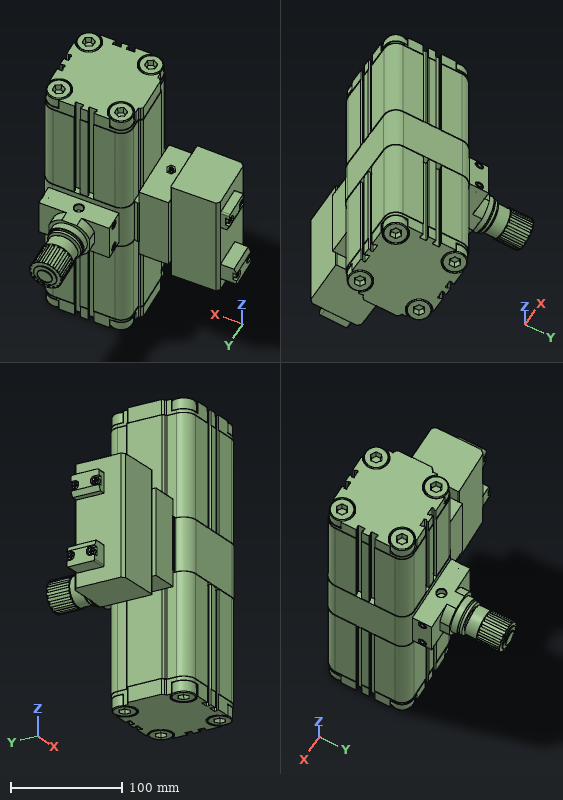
import cadquery as cq
import math

TOTAL_HEIGHT = 289.0
TOTAL_LENGTH_X = 186.7
BODY_HALF = 44.0
BARREL_HALF = 43.5
CAP_HALF = 43.0
BOLT_OFFSET = 31.0
CAP_THICKNESS = 15.3
MIDDLE_HALF_HEIGHT = 26.5
CAP_CORNER_RADIUS = CAP_HALF - BOLT_OFFSET
BARREL_CORNER_RADIUS = BARREL_HALF - BOLT_OFFSET
BODY_CORNER_RADIUS = BODY_HALF - BOLT_OFFSET
HALF_HEIGHT = TOTAL_HEIGHT / 2
BARREL_TOP = HALF_HEIGHT - CAP_THICKNESS

BARREL_PAD_X = -47.4
CAP_PAD_X = -47.0
PAD_EDGE_CHAMFER = 2.0
PAD_FOOT_RUN = 0.8
BARREL_PAD_HALF = 18.5
CAP_PAD_HALF = 17.5

SLOT_PITCH = 13.5
SLOT_DEPTH = 5.4
SLOT_MOUTH_WIDTH = 5.8
SLOT_FLOOR_WIDTH = 7.8
SLOT_NARROW_FLOOR_WIDTH = 6.6
SLOT_LIP_DEPTH = 2.4
SLOT_SHOULDER_DEPTH = 3.4

BOLT_HEAD_DIAMETER = 23.0
BOLT_SEAT_DIAMETER = 24.5
BOLT_SEAT_DEPTH = 11.5
BOLT_SEAT_SIDE_HALF = 5.6
BOLT_HEAD_CHAMFER = 0.9
HEX_ACROSS_FLATS = 10.0
HEX_TAPER = 9.0
HEX_DEPTH = 6.0

VALVE_INNER_X = -48.8
VALVE_OUTER_X = -78.5
VALVE_HALF_Y = 31.0
VALVE_HALF_Z = 42.8
FLANGE_EDGE_X = -47.3
FLANGE_EDGE_INSET = 0.9
OVERRIDE_ACROSS_FLATS = 7.4
OVERRIDE_RECESS = 4.13
OVERRIDE_RECESS_DEPTH = 1.0
OVERRIDE_HOLE = 2.46
OVERRIDE_HEIGHT = 2.0
OVERRIDE_Y = -4.6
UPPER_OVERRIDE_X = -63.7
LOWER_OVERRIDE_X = -67.3

HOUSING_OUTER_X = -126.5
HOUSING_HALF_Z = 60.8
HOUSING_HALF_Y = 26.7
HOUSING_BASE_HALF_Y = 27.4
HOUSING_CHAMFER = 3.1
HOUSING_BASE_CHAMFER = 0.9
PLUG_MAX_Y = 23.6
PLUG_MIN_Y = -6.0
PLUG_HEIGHT = 20.9
PLUG_CENTRE_Z = 35.9
PLUG_CHAMFER_X = 2.7
PLUG_CHAMFER_Z = 5.4
PLUG_CORNER_RADIUS = 1.5
UPPER_PLUG_X = -135.5
LOWER_PLUG_X = BODY_HALF - TOTAL_LENGTH_X
PLUG_SCREW_Y = (19.8, -1.4)
PLUG_SEAT_DIAMETER = 8.57
PLUG_SEAT_DEPTH = 3.9
PLUG_SCREW_DIAMETER = 7.0
PLUG_SCREW_HEIGHT = 2.8
CROSS_LENGTH = 4.5
CROSS_WIDTH = 1.2
CROSS_DEPTH = 1.5

REGULATOR_HALF_X = 35.2
REGULATOR_HALF_Z = 20.25
REGULATOR_FACE_Y = 64.0
PORT_Y = 54.0
PORT_DIAMETER = 8.57
PORT_DEPTH = 8.0
PORT_CHAMFER = 0.6
SIDE_SCREW_Y = 54.3
SIDE_SCREW_Z = 15.0
SIDE_SEAT_DIAMETER = 8.38
SIDE_SEAT_DEPTH = 5.2
SIDE_SCREW_DIAMETER = 7.0
SIDE_SCREW_SOCKET = 4.13
NECK_DIAMETER = 43.2
NECK_END_Y = 73.7
KNOB_DIAMETER = 32.0
TURNED_SECTIONS = (
    (36.0, 80.4),
    (33.9, 82.0),
    (33.4, 84.6),
    (24.5, 86.6),
    (29.6, 99.0),
    (KNOB_DIAMETER, 122.9),
    (23.0, 124.0),
    (14.95, 125.0),
)
KNOB_GROOVES = 18
KNOB_GROOVE_START_Y = 99.7
KNOB_GROOVE_END_Y = 122.2
KNOB_GROOVE_DIAMETER = 2.46


def box(x_range, y_range, z_range):
    """Box spanning the given ranges."""
    sizes = [high - low for low, high in (x_range, y_range, z_range)]
    corner = (x_range[0], y_range[0], z_range[0])
    return cq.Workplane("XY").box(*sizes, centered=False).translate(corner)


def cylinder(start, direction, diameter, length):
    """Cylinder from a start point along a direction."""
    solid = cq.Solid.makeCylinder(diameter / 2, length, cq.Vector(*start), cq.Vector(*direction))
    return cq.Workplane(obj=solid)


def rounded_prism(half_side, corner_radius, bottom, top):
    """Square column with rounded vertical edges."""
    column = box((-half_side, half_side), (-half_side, half_side), (bottom, top))
    return column.edges("|Z").fillet(corner_radius)


def section_with_pad(half_side, corner_radius, pad_x, pad_half, bottom, top):
    """Square column carrying a pad with bevelled edges on its -X side."""
    edge_x = pad_x + PAD_EDGE_CHAMFER
    edge_half = pad_half + PAD_EDGE_CHAMFER
    foot_half = edge_half + PAD_FOOT_RUN
    pad = (
        cq.Workplane("XY", origin=(0, 0, bottom))
        .polyline([
            (-BOLT_OFFSET, -foot_half),
            (-half_side, -foot_half),
            (edge_x, -edge_half),
            (pad_x, -pad_half),
            (pad_x, pad_half),
            (edge_x, edge_half),
            (-half_side, foot_half),
            (-BOLT_OFFSET, foot_half),
        ])
        .close()
        .extrude(top - bottom)
    )
    return rounded_prism(half_side, corner_radius, bottom, top).union(pad)


def slot_cutter(offset, floor_width):
    """Undercut sensor slot in the -Y face, as tall as a barrel with its cap."""
    mouth = SLOT_MOUTH_WIDTH / 2
    floor = floor_width / 2
    return (
        cq.Workplane("XY", origin=(offset, -BARREL_HALF, MIDDLE_HALF_HEIGHT))
        .polyline([
            (-mouth, -SLOT_LIP_DEPTH),
            (-mouth, SLOT_LIP_DEPTH),
            (-floor, SLOT_SHOULDER_DEPTH),
            (-floor, SLOT_DEPTH),
            (floor, SLOT_DEPTH),
            (floor, SLOT_SHOULDER_DEPTH),
            (mouth, SLOT_LIP_DEPTH),
            (mouth, -SLOT_LIP_DEPTH),
        ])
        .close()
        .extrude(HALF_HEIGHT - MIDDLE_HALF_HEIGHT)
    )


def cap_bolt():
    """Hex socket bolt head on the Z axis, its top level with the end of the body."""
    seat_z = HALF_HEIGHT - BOLT_SEAT_DEPTH
    head = cylinder((0, 0, seat_z), (0, 0, 1), BOLT_HEAD_DIAMETER, BOLT_SEAT_DEPTH)
    head = head.faces(">Z").chamfer(BOLT_HEAD_CHAMFER)
    across_corners = HEX_ACROSS_FLATS / math.cos(math.pi / 6)
    socket = (
        cq.Workplane("XY", origin=(0, 0, HALF_HEIGHT))
        .transformed(rotate=(0, 0, 90))
        .polygon(6, across_corners)
        .extrude(-HEX_DEPTH, taper=HEX_TAPER)
    )
    return head.cut(socket)


def bolt_seat():
    """Corner recess for the bolt at (+X, +Y), opening through both cap sides."""
    seat_z = HALF_HEIGHT - BOLT_SEAT_DEPTH
    z_range = (seat_z, HALF_HEIGHT)
    inner = BOLT_OFFSET - BOLT_SEAT_SIDE_HALF
    seat = cylinder(
        (BOLT_OFFSET, BOLT_OFFSET, seat_z), (0, 0, 1), BOLT_SEAT_DIAMETER, BOLT_SEAT_DEPTH)
    seat = seat.union(box((inner, BODY_HALF), (BOLT_OFFSET, BODY_HALF), z_range))
    return seat.union(box((BOLT_OFFSET, BODY_HALF), (inner, BODY_HALF), z_range))


def upper_half():
    """Barrel, end cap and bolts above the middle block."""
    barrel = section_with_pad(
        BARREL_HALF, BARREL_CORNER_RADIUS, BARREL_PAD_X, BARREL_PAD_HALF,
        MIDDLE_HALF_HEIGHT, BARREL_TOP)
    cap = section_with_pad(
        CAP_HALF, CAP_CORNER_RADIUS, CAP_PAD_X, CAP_PAD_HALF, BARREL_TOP, HALF_HEIGHT)
    half = barrel.union(cap)
    slotted_sides = (
        (0, SLOT_FLOOR_WIDTH),
        (90, SLOT_NARROW_FLOOR_WIDTH),
        (180, SLOT_FLOOR_WIDTH),
    )
    for side_angle, floor_width in slotted_sides:
        for offset in (-SLOT_PITCH / 2, SLOT_PITCH / 2):
            slot = slot_cutter(offset, floor_width)
            half = half.cut(slot.rotate((0, 0, 0), (0, 0, 1), side_angle))
    seat = bolt_seat()
    for corner in range(4):
        half = half.cut(seat.rotate((0, 0, 0), (0, 0, 1), 90 * corner))
    bolt = cap_bolt()
    for x in (-BOLT_OFFSET, BOLT_OFFSET):
        for y in (-BOLT_OFFSET, BOLT_OFFSET):
            half = half.union(bolt.translate((x, y, 0)))
    return half


def body():
    middle = rounded_prism(
        BODY_HALF, BODY_CORNER_RADIUS, -MIDDLE_HALF_HEIGHT, MIDDLE_HALF_HEIGHT)
    half = upper_half()
    return middle.union(half).union(half.mirror("XY"))


def override_button(x):
    """Hexagonal manual override standing on the top of the valve."""
    across_corners = OVERRIDE_ACROSS_FLATS / math.cos(math.pi / 6)
    return (
        cq.Workplane("XY", origin=(x, OVERRIDE_Y, VALVE_HALF_Z))
        .polygon(6, across_corners)
        .extrude(OVERRIDE_HEIGHT)
        .faces(">Z")
        .workplane()
        .cboreHole(OVERRIDE_HOLE, OVERRIDE_RECESS, OVERRIDE_RECESS_DEPTH)
    )


def valve():
    y_range = (-VALVE_HALF_Y, VALVE_HALF_Y)
    block = box((VALVE_OUTER_X, VALVE_INNER_X), y_range, (-VALVE_HALF_Z, VALVE_HALF_Z))
    inset_half_y = VALVE_HALF_Y - FLANGE_EDGE_INSET
    flange = (
        cq.Workplane("XY", origin=(0, 0, -MIDDLE_HALF_HEIGHT))
        .polyline([
            (-BODY_HALF, -inset_half_y),
            (FLANGE_EDGE_X, -VALVE_HALF_Y),
            (VALVE_INNER_X, -inset_half_y),
            (VALVE_INNER_X, inset_half_y),
            (FLANGE_EDGE_X, VALVE_HALF_Y),
            (-BODY_HALF, inset_half_y),
        ])
        .close()
        .extrude(2 * MIDDLE_HALF_HEIGHT)
    )
    block = block.union(flange)
    block = block.union(override_button(UPPER_OVERRIDE_X))
    return block.union(override_button(LOWER_OVERRIDE_X).mirror("XY"))


def pilot_housing():
    """Drafted housing, wider where it meets the valve."""
    return (
        cq.Workplane("XY", origin=(0, 0, -HOUSING_HALF_Z))
        .polyline([
            (HOUSING_OUTER_X, -HOUSING_HALF_Y),
            (VALVE_OUTER_X, -HOUSING_BASE_HALF_Y),
            (VALVE_OUTER_X, HOUSING_BASE_HALF_Y),
            (HOUSING_OUTER_X, HOUSING_HALF_Y),
        ])
        .close()
        .extrude(2 * HOUSING_HALF_Z)
        .edges("|Z and <X")
        .chamfer(HOUSING_CHAMFER)
        .edges("|Z and >X")
        .chamfer(HOUSING_BASE_CHAMFER)
    )


def plug(face_x):
    """Electrical plug above mid height; its chamfered edge faces the middle."""
    low_z = PLUG_CENTRE_Z - PLUG_HEIGHT / 2
    high_z = PLUG_CENTRE_Z + PLUG_HEIGHT / 2
    shell = (
        cq.Workplane("XZ", origin=(0, PLUG_MAX_Y, 0))
        .polyline([
            (HOUSING_OUTER_X, low_z),
            (face_x + PLUG_CHAMFER_X, low_z),
            (face_x, low_z + PLUG_CHAMFER_Z),
            (face_x, high_z),
            (HOUSING_OUTER_X, high_z),
        ])
        .close()
        .extrude(PLUG_MAX_Y - PLUG_MIN_Y)
        .edges("|X and >Z")
        .fillet(PLUG_CORNER_RADIUS)
    )
    seat_x = face_x + PLUG_SEAT_DEPTH
    head_x = seat_x - PLUG_SCREW_HEIGHT
    half_seat = PLUG_SEAT_DIAMETER / 2
    seat_z_range = (PLUG_CENTRE_Z - half_seat, PLUG_CENTRE_Z + half_seat)
    for y, side_y in zip(PLUG_SCREW_Y, (PLUG_MAX_Y, PLUG_MIN_Y)):
        seat = cylinder((face_x, y, PLUG_CENTRE_Z), (1, 0, 0), PLUG_SEAT_DIAMETER, PLUG_SEAT_DEPTH)
        outlet = box((face_x, seat_x), (min(y, side_y), max(y, side_y)), seat_z_range)
        seat = seat.union(outlet)
        screw = cylinder(
            (seat_x, y, PLUG_CENTRE_Z), (-1, 0, 0), PLUG_SCREW_DIAMETER, PLUG_SCREW_HEIGHT)
        bar = cq.Workplane("XY").box(2 * CROSS_DEPTH, CROSS_LENGTH, CROSS_WIDTH)
        cross = bar.union(bar.rotate((0, 0, 0), (1, 0, 0), 90))
        screw = screw.cut(cross.translate((head_x, y, PLUG_CENTRE_Z)))
        shell = shell.cut(seat).union(screw)
    return shell


def regulator_block():
    z_range = (-REGULATOR_HALF_Z, REGULATOR_HALF_Z)
    block = box(
        (-REGULATOR_HALF_X, REGULATOR_HALF_X), (BODY_HALF, REGULATOR_FACE_Y), z_range)
    port = cylinder((0, PORT_Y, REGULATOR_HALF_Z), (0, 0, -1), PORT_DIAMETER, PORT_DEPTH)
    block = block.cut(port)
    rim = cq.Solid.makeCone(
        PORT_DIAMETER / 2, PORT_DIAMETER / 2 + PORT_CHAMFER, PORT_CHAMFER,
        cq.Vector(0, PORT_Y, REGULATOR_HALF_Z - PORT_CHAMFER))
    block = block.cut(cq.Workplane(obj=rim))
    for side in (-1, 1):
        for z in (-SIDE_SCREW_Z, SIDE_SCREW_Z):
            start = (side * REGULATOR_HALF_X, SIDE_SCREW_Y, z)
            inward = (-side, 0, 0)
            seat = cylinder(start, inward, SIDE_SEAT_DIAMETER, SIDE_SEAT_DEPTH)
            screw = cylinder(start, inward, SIDE_SCREW_DIAMETER, SIDE_SEAT_DEPTH)
            socket = cylinder(start, inward, SIDE_SCREW_SOCKET, SIDE_SEAT_DEPTH)
            block = block.cut(seat).union(screw.cut(socket))
    neck = cylinder(
        (0, REGULATOR_FACE_Y, 0), (0, 1, 0), NECK_DIAMETER, NECK_END_Y - REGULATOR_FACE_Y)
    flats = box(
        (-REGULATOR_HALF_Z, REGULATOR_HALF_Z), (REGULATOR_FACE_Y, NECK_END_Y), z_range)
    return block.union(neck.intersect(flats))


def regulator_knob():
    knob = cq.Workplane("XY")
    start_y = NECK_END_Y
    for diameter, end_y in TURNED_SECTIONS:
        knob = knob.union(cylinder((0, start_y, 0), (0, 1, 0), diameter, end_y - start_y))
        start_y = end_y
    groove = cylinder(
        (KNOB_DIAMETER / 2, KNOB_GROOVE_START_Y, 0), (0, 1, 0),
        KNOB_GROOVE_DIAMETER, KNOB_GROOVE_END_Y - KNOB_GROOVE_START_Y)
    for index in range(KNOB_GROOVES):
        angle = 360 / KNOB_GROOVES * index
        knob = knob.cut(groove.rotate((0, 0, 0), (0, 1, 0), angle))
    return knob


result = body()
result = result.union(valve())
result = result.union(pilot_housing())
result = result.union(plug(UPPER_PLUG_X))
result = result.union(plug(LOWER_PLUG_X).mirror("XY"))
result = result.union(regulator_block())
result = result.union(regulator_knob())